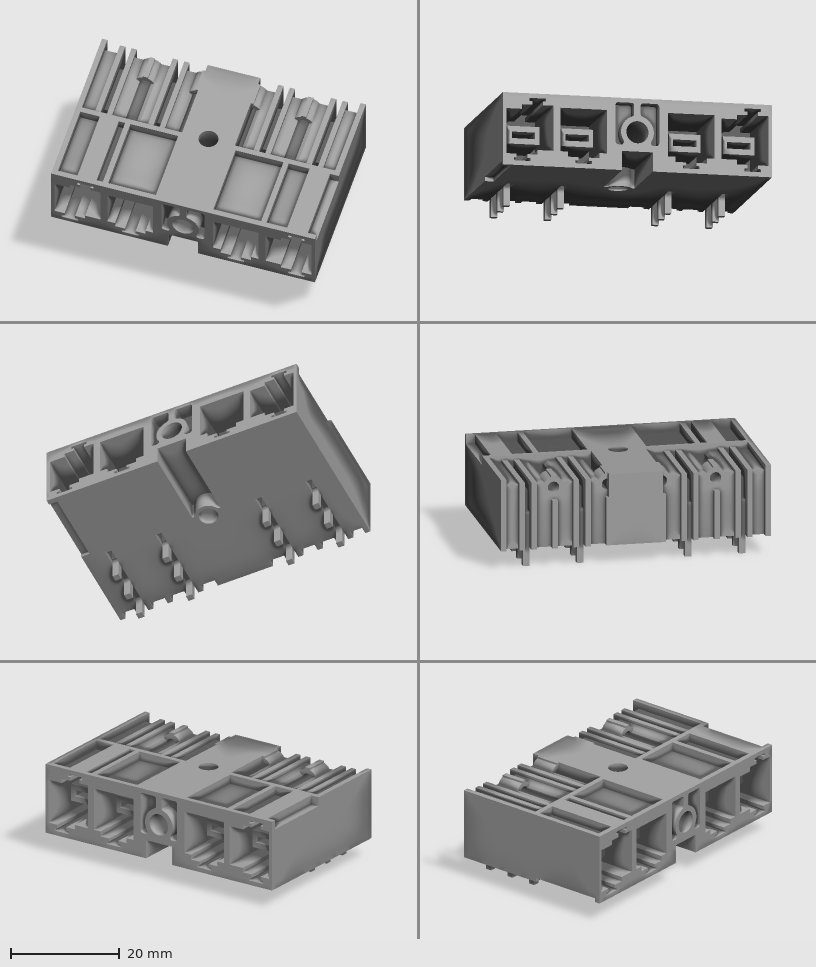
import cadquery as cq
import math


width = 50.8
depth = 32.0
height = 13.6
half_width = width / 2
wall = 1.0
mid_z = height / 2

contact_pitch = 10.15
contact_xs = [-2 * contact_pitch, -contact_pitch, contact_pitch, 2 * contact_pitch]

cavity_depth = 15.0
rear_wall_y = cavity_depth + wall

cavity_half_width = 4.4
cavity_margin = 3.0
mid_ceiling_margin = 2.45
end_panel_margin = 2.15
mid_panel_margin = 2.05
panel_half_width = 2.95
key_offset = cavity_half_width - panel_half_width
key_neck_half_width = 1.0
key_head_half_width = 1.6
key_shoulder_margin = 1.4
key_end_margin = 0.85

pocket_depth = 1.8
rib_half = wall / 2
rib_x = 1.5 * contact_pitch
inner_pocket_x = 5.55
left_pocket_inner_x = 20.6
narrow_pocket_outer_x = 16.95
right_pocket_outer_x = 19.75
notch_width = 1.7
base_notch_height = 0.75

rear_floor_drop = 1.3
rear_floor_end = depth - 1.4
rear_floor_z = height - rear_floor_drop
block_half_width = contact_pitch / 2
fin = 1.0
fin_top = height - 0.7

boss_xs = [-rib_x, -block_half_width, block_half_width, rib_x]
boss_radius = 2.0
boss_z = height - 2.3
boss_front_y = depth - 6.0
groove_radius = 1.05
mouth_half_width = 1.8
mouth_depth = 0.5
low_rib_top = 9.15

screw_y = depth / 2
screw_hole_radius = 1.85
tube_radius = 2.5
front_hole_radius = 2.1
front_hole_z = height - 6.35
base_slot_half_width = 2.9
base_slot_height = 3.6
base_slot_end_y = 15.1
flare_half_width = 2.55
flare_neck_half_width = 2.2
flare_neck_y = screw_y - math.sqrt(tube_radius ** 2 - flare_neck_half_width ** 2)

collar_radius = 3.1
collar_recess_depth = 2.55
collar_recess_outer_x = 4.1
collar_recess_inner_x = 0.6
collar_recess_foot_x = 2.55
collar_recess_top = height - 0.85
collar_recess_bottom = height - 8.8
collar_recess_fillet = 0.5

stock = 1.2
pin_length = 3.5
pin_pitch = 5.1
pin_count = 3
last_pin_y = depth - 2.25
plate_front_y = depth - 13.2
plate_rear_y = last_pin_y + stock / 2
plate_bottom = 1.0
plate_top = height - 3.05
shoulder_y = depth - 3.55
shoulder_top = mid_z
socket_width = 6.0
socket_height = 3.35
socket_tip_y = 5.25
slit_width = 4.4
slit_depth = 7.6


def block(x0, x1, y0, y1, z0, z1):
    """Box between two opposite corners."""
    return cq.Workplane("XY").box(x1 - x0, y1 - y0, z1 - z0, centered=False).translate((x0, y0, z0))


def centred_block(x, half, y0, y1, z0, z1):
    """Box centred on x."""
    return block(x - half, x + half, y0, y1, z0, z1)


def rod(x, z, radius, y0, y1):
    """Cylinder along y."""
    return cq.Workplane("XZ", origin=(x, y0, z)).circle(radius).extrude(y0 - y1)


def key_slot(x, panel_margin, at_top):
    """Stepped panel and T-shaped coding slot in the floor or ceiling of a cavity."""
    steps = [
        (panel_half_width, panel_margin),
        (key_neck_half_width, key_shoulder_margin),
        (key_head_half_width, key_end_margin),
    ]
    reach = [mid_z, panel_margin, key_shoulder_margin]
    slot = cq.Workplane("XY")
    for (half, margin), start in zip(steps, reach):
        step = centred_block(x, half, 0, cavity_depth, margin, start)
        slot = slot.union(step)
    if at_top:
        slot = slot.mirror("XY").translate((0, 0, height))
    return slot


def cavity(x):
    """Plug cavity; the end cavities are coded at top and base, the middle ones at the base."""
    is_end = abs(x) > contact_pitch
    ceiling_margin = cavity_margin if is_end else mid_ceiling_margin
    ceiling = height - ceiling_margin
    space = centred_block(x, cavity_half_width, 0, cavity_depth, cavity_margin, ceiling)
    if is_end:
        base_key_x = x + math.copysign(key_offset, x)
        space = space.union(key_slot(base_key_x, end_panel_margin, at_top=False))
        space = space.union(key_slot(x + key_offset, end_panel_margin, at_top=True))
    else:
        space = space.union(key_slot(x, mid_panel_margin, at_top=False))
    return space


def top_pockets():
    spans = [
        (-half_width + wall, -left_pocket_inner_x),
        (-narrow_pocket_outer_x, -rib_x - rib_half),
        (-rib_x + rib_half, -inner_pocket_x),
        (inner_pocket_x, rib_x - rib_half),
        (rib_x + rib_half, right_pocket_outer_x),
        (half_width - notch_width, half_width),
    ]
    pockets = cq.Workplane("XY")
    for x0, x1 in spans:
        pockets = pockets.union(block(x0, x1, wall, cavity_depth, height - pocket_depth, height))
    return pockets


def base_notch():
    return block(-half_width, -half_width + notch_width, wall, cavity_depth, 0, base_notch_height)


def side_walls():
    """Full-height side walls of the rear half."""
    left = block(-half_width, -half_width + wall, rear_wall_y, depth, 0, height)
    return left.union(left.mirror("YZ"))


def fin_pair(x):
    """Two fins, slightly below the top, on either side of a contact slot."""
    return centred_block(x, stock / 2 + fin, rear_wall_y, depth, 0, fin_top)


def boss(x):
    """Round boss with a flat rib along its crest and a lower rib behind it."""
    rounded = rod(x, boss_z, boss_radius, boss_front_y, rear_floor_end)
    crest = centred_block(x, rib_half, boss_front_y, rear_floor_end, boss_z, height)
    low_rib = centred_block(x, rib_half, rear_floor_end, depth, 0, low_rib_top)
    return rounded.union(crest).union(low_rib)


def groove(x):
    """Bore under a boss that becomes an open groove with a flared mouth in front of it."""
    bore = rod(x, boss_z, groove_radius, rear_wall_y, rear_floor_end)
    neck_z = rear_floor_z - mouth_depth
    mouth = (
        cq.Workplane("XZ", origin=(x, rear_wall_y, 0))
        .polyline([
            (-groove_radius, boss_z),
            (groove_radius, boss_z),
            (groove_radius, neck_z),
            (mouth_half_width, rear_floor_z),
            (-mouth_half_width, rear_floor_z),
            (-groove_radius, neck_z),
        ])
        .close()
        .extrude(rear_wall_y - boss_front_y)
    )
    return bore.union(mouth)


def contact_slot(x):
    """Slot between a pair of fins, open at the top, base and rear."""
    return centred_block(x, stock / 2, rear_wall_y, depth, 0, height)


def screw_tube():
    """Solid round column around the screw hole, flared where it meets the base slot's end."""
    column = cq.Workplane("XY").center(0, screw_y).circle(tube_radius).extrude(height)
    flare = (
        cq.Workplane("XY")
        .polyline([
            (-flare_half_width, base_slot_end_y),
            (flare_half_width, base_slot_end_y),
            (flare_neck_half_width, flare_neck_y),
            (-flare_neck_half_width, flare_neck_y),
        ])
        .close()
        .extrude(base_slot_height)
    )
    return column.union(flare)


def front_screw_openings():
    """Front hole and base slot, both ending against the screw tube."""
    hole = rod(0, front_hole_z, front_hole_radius, 0, screw_y)
    slot = centred_block(0, base_slot_half_width, 0, base_slot_end_y, 0, base_slot_height)
    return hole.union(slot).cut(screw_tube())


def screw_hole():
    return cq.Workplane("XY").center(0, screw_y).circle(screw_hole_radius).extrude(height)


def collar_recess():
    """Recess on the +X side of the front hole, leaving a round collar around the hole."""
    upper = block(
        collar_recess_inner_x, collar_recess_outer_x, 0, collar_recess_depth,
        front_hole_z, collar_recess_top,
    )
    foot = block(
        collar_recess_foot_x, collar_recess_outer_x, 0, collar_recess_depth,
        collar_recess_bottom, front_hole_z,
    )
    collar = rod(0, front_hole_z, collar_radius, 0, collar_recess_depth)
    recess = upper.union(foot).cut(collar)
    return recess.edges("|Y and (<X or >X or <Z)").fillet(collar_recess_fillet)


def socket_block(x):
    """Outer block of a contact's socket, from its tip to the rear of the cavity wall."""
    return centred_block(
        x, socket_width / 2, socket_tip_y, rear_wall_y,
        mid_z - socket_height / 2, mid_z + socket_height / 2,
    )


def make_contact(x):
    """Slitted socket, stem, upright plate and a row of solder pins."""
    half = stock / 2
    slit = centred_block(
        x, slit_width / 2, socket_tip_y, socket_tip_y + slit_depth, mid_z - half, mid_z + half
    )
    socket = socket_block(x).cut(slit)
    stem = centred_block(x, half, rear_wall_y, plate_front_y, mid_z - half, mid_z + half)
    plate = centred_block(x, half, plate_front_y, shoulder_y, plate_bottom, plate_top)
    shoulder = centred_block(x, half, shoulder_y, plate_rear_y, plate_bottom, shoulder_top)
    contact = socket.union(stem).union(plate).union(shoulder)
    for i in range(pin_count):
        pin_y = last_pin_y - i * pin_pitch
        pin = centred_block(x, half, pin_y - half, pin_y + half, -pin_length, plate_bottom)
        contact = contact.union(pin)
    return contact


def make_housing():
    body = block(-half_width, half_width, 0, rear_wall_y, 0, height)
    body = body.union(block(-half_width, half_width, rear_wall_y, rear_floor_end, 0, rear_floor_z))
    for x in boss_xs:
        body = body.union(boss(x)).cut(groove(x))
    body = body.union(centred_block(0, block_half_width, rear_wall_y, depth, 0, height))
    body = body.union(side_walls())
    for x in contact_xs:
        body = body.union(fin_pair(x))
        body = body.cut(cavity(x)).cut(contact_slot(x)).cut(socket_block(x))
    body = body.cut(top_pockets()).cut(base_notch())
    body = body.cut(front_screw_openings()).cut(screw_hole())
    recess = collar_recess()
    return body.cut(recess).cut(recess.mirror("YZ"))


housing = make_housing()
contacts = [make_contact(x) for x in contact_xs]
contact_solids = [contact.solids().val() for contact in contacts]
result = cq.Compound.makeCompound([housing.solids().val(), *contact_solids])